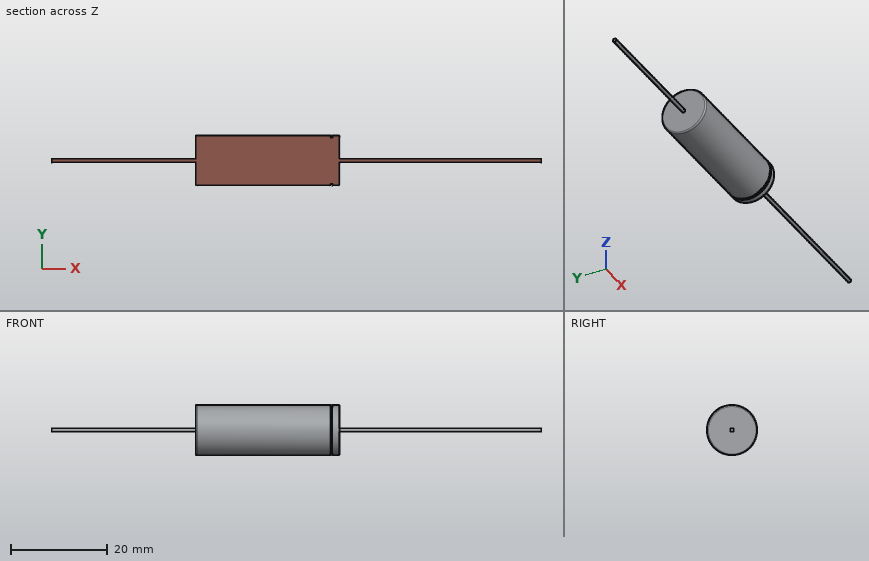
import cadquery as cq

total_length = 102.0
body_length = 30.0
body_diameter = 10.5
left_lead_length = 30.0
right_lead_length = total_length - left_lead_length - body_length
lead_diameter = 0.8
edge_radius = 0.3
rim_length = 1.5
groove_width = 0.3
groove_depth = 0.4

main_length = body_length - rim_length - groove_width
body_start = -body_length / 2
body_end = body_start + body_length
groove_start = body_start + main_length
rim_start = groove_start + groove_width


def rod(start, length, diameter):
    """Solid cylinder along +X from the given X position."""
    return cq.Workplane("YZ", origin=(start, 0, 0)).circle(diameter / 2).extrude(length)


main_section = rod(body_start, main_length, body_diameter).edges("%CIRCLE").fillet(edge_radius)
groove_core = rod(groove_start, groove_width, body_diameter - 2 * groove_depth)
rim = rod(rim_start, rim_length, body_diameter).faces(">X").edges().fillet(edge_radius)

left_lead = rod(body_start - left_lead_length, left_lead_length, lead_diameter)
right_lead = rod(body_end, right_lead_length, lead_diameter)

result = main_section.union(groove_core).union(rim).union(left_lead).union(right_lead)